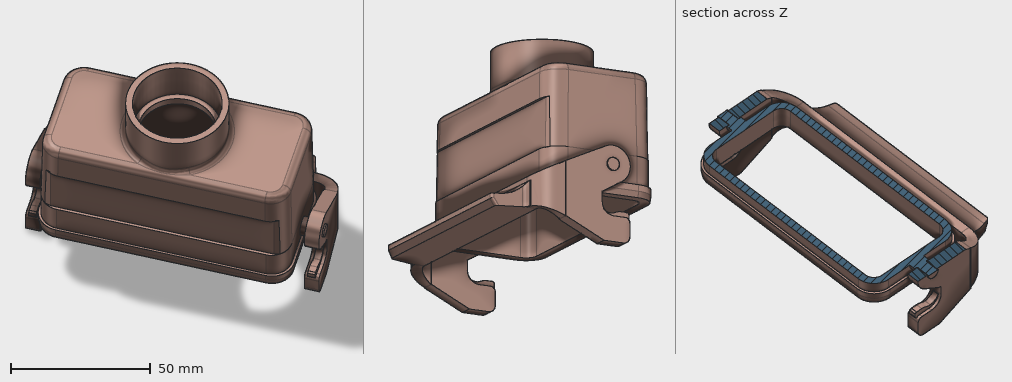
import cadquery as cq
import math


TOLERANCE = 0.01

BODY_HALF_X = 46.5
BODY_HALF_Y = 21.6
BODY_CORNER_R = 7.6
BAND_TOP_Z = 15.5
DECK_Z = 47.3
DRAFT = 1.0
DECK_EDGE_R = 3.1

FLANGE_HALF_X = 47.5
FLANGE_HALF_Y = 22.5
FLANGE_CORNER_R = 8.4
FLANGE_TOP_Z = 4.7
FLANGE_BEVEL_H = 2.3
FLANGE_BEVEL_W = 0.4

PANEL_TOP_Z = 34.4
PANEL_DEPTH = 1.1
PANEL_FLAT_HALF_X = 41.5
PANEL_BEVEL_SLOPE = 0.3
PANEL_CUT_HALF_X = BODY_HALF_X + 1.1

WALL = 3.3
CEILING_Z = 45.6

OVERALL_HEIGHT = 83.5
NECK_D = 37.0
NECK_FILLET = 2.0
NECK_BORE_D = 32.0
NECK_HOLE_D = 28.0
NECK_BORE_DEPTH = 15.0

PIVOT_Z = 8.8
PIVOT_D = 4.8
COLLAR_D = 7.0
PIVOT_TIP_X = 55.0

ARM_INNER_X = 49.1
ARM_OUTER_X = 54.5
ARM_END_Y = 18.9
ARM_EYE_R = 7.0
ARM_SLOPE = math.radians(25)
THROAT_SLOPE = math.radians(30)
LEVER_BOTTOM_Z = -19.9

THROAT_Y = 4.3
THROAT_WALL_END_Z = -5.6
THROAT_R = 4.7
HOOK_TIP_Y = -6.9
HOOK_TOP_R = 1.9
HOOK_BOTTOM_R = 2.6

TONGUE_W = 2.8
TONGUE_ROOT = (4.1, -6.3)
TONGUE_CURVE = (2.5, -8.3)
TONGUE_HOLLOW = (0.2, -9.0)
TONGUE_CREST = (-4.0, -8.0)
TONGUE_CREST_END_Y = -6.5
TONGUE_NOSE_Y = -7.3
TONGUE_NOSE_TOP_Z = -8.5
TONGUE_NOSE_BOTTOM_Z = -10.3
TONGUE_EMBED = 1.1

PLATE_OUTER_Y = 28.8
PLATE_T = 4.0
PLATE_HALF_X = 43.2
PLATE_BOTTOM_Z = -8.1
BEND_OUTER_X = 54.2
BEND_INNER_X = 49.4
BEND_SECTIONS = 7
BEND_MARGIN = 1.1

TAB_OUTER_Y = 41.5
TAB_OUTER_HALF_X = 39.9
TAB_ROOT_HALF_X = 43.5
TAB_CORNER_R = 1.3
TAB_ROOT_R = 2.3
TAB_TOP_Z = -3.6
TAB_LIP_Y = 38.5
TAB_HOLLOW_R = 12.0
TAB_BEVEL_W = 1.5
TAB_BEVEL_H = 2.6

NECK_TOP_Z = LEVER_BOTTOM_Z + OVERALL_HEIGHT
NECK_SHOULDER_Z = NECK_TOP_Z - NECK_BORE_DEPTH
ARM_T = ARM_OUTER_X - ARM_INNER_X
PLATE_INNER_Y = PLATE_OUTER_Y - PLATE_T
THROAT_BOTTOM_Z = THROAT_WALL_END_Z - THROAT_R
EDGE_HEIGHT_AT_PIVOT = PIVOT_Z + ARM_EYE_R / math.cos(ARM_SLOPE)
ARM_END_TOP_Z = EDGE_HEIGHT_AT_PIVOT - ARM_END_Y * math.tan(ARM_SLOPE)
PLATE_TOP_Z = EDGE_HEIGHT_AT_PIVOT - PLATE_OUTER_Y * math.tan(ARM_SLOPE)
ARM_END_BOTTOM_Z = PLATE_BOTTOM_Z - (PLATE_OUTER_Y - ARM_END_Y) * math.tan(ARM_SLOPE)
LEVER_FOOT_Y = PLATE_OUTER_Y - (PLATE_BOTTOM_Z - LEVER_BOTTOM_Z) / math.tan(ARM_SLOPE)


def rounded_block(half_x, half_y, corner_r, z_low, z_high):
    block = cq.Workplane("XY", origin=(0, 0, z_low)).rect(2 * half_x, 2 * half_y)
    return block.extrude(z_high - z_low).edges("|Z").fillet(corner_r)


def drafted_block(half_x, half_y, corner_r, z_low, height, draft):
    """Rounded block whose four walls lean inward by the draft angle in degrees."""
    block = cq.Workplane("XY", origin=(0, 0, z_low)).rect(2 * half_x, 2 * half_y)
    block = block.extrude(height, taper=draft)
    return block.edges("not(|X or |Y)").fillet(corner_r)


def x_cylinder(diameter, x_start, x_end):
    """Cylinder on the pivot axis."""
    plane = cq.Workplane("YZ", origin=(x_start, 0, PIVOT_Z))
    return plane.circle(diameter / 2).extrude(x_end - x_start)


def mirrored_pair(shape, plane):
    return shape.union(shape.mirror(plane))


def make_cover():
    """Drafted cover with a rounded top edge and the cable neck rising from it."""
    cover = drafted_block(
        BODY_HALF_X, BODY_HALF_Y, BODY_CORNER_R, BAND_TOP_Z, DECK_Z - BAND_TOP_Z, DRAFT
    )
    cover = cover.faces(">Z").edges().fillet(DECK_EDGE_R)
    neck = cq.Workplane("XY", origin=(0, 0, BAND_TOP_Z)).circle(NECK_D / 2)
    cover = cover.union(neck.extrude(NECK_TOP_Z - BAND_TOP_Z))
    return cover.newObject(neck_root_edges(cover)).fillet(NECK_FILLET)


def neck_root_edges(cover):
    """Edges below the neck's rim that lie on the neck's cylinder."""

    def on_neck(point):
        return abs(math.hypot(point.x, point.y) - NECK_D / 2) < TOLERANCE

    samples = [0.1, 0.4, 0.9]
    low_edges = [edge for edge in cover.edges().vals() if edge.BoundingBox().zmax < DECK_Z + TOLERANCE]
    return [edge for edge in low_edges if all(on_neck(point) for point in edge.positions(samples))]


def make_flange():
    """Rim around the opening, bevelled along its lower edge."""
    rim = rounded_block(FLANGE_HALF_X, FLANGE_HALF_Y, FLANGE_CORNER_R, 0, FLANGE_TOP_Z)
    return rim.faces("<Z").edges().chamfer(FLANGE_BEVEL_H, FLANGE_BEVEL_W)


def make_panel_cut():
    """Recess on the -Y wall: a flat floor with a shallow bevelled strip at each end."""

    def plan(floor_y):
        end_y = floor_y + (PANEL_CUT_HALF_X - PANEL_FLAT_HALF_X) * PANEL_BEVEL_SLOPE
        return [
            (-PANEL_CUT_HALF_X, -FLANGE_HALF_Y),
            (PANEL_CUT_HALF_X, -FLANGE_HALF_Y),
            (PANEL_CUT_HALF_X, end_y),
            (PANEL_FLAT_HALF_X, floor_y),
            (-PANEL_FLAT_HALF_X, floor_y),
            (-PANEL_CUT_HALF_X, end_y),
        ]

    height = PANEL_TOP_Z - BAND_TOP_Z
    inset_at_top = height * math.tan(math.radians(DRAFT))
    floor_low = PANEL_DEPTH - BODY_HALF_Y
    cut = cq.Workplane("XY", origin=(0, 0, BAND_TOP_Z)).polyline(plan(floor_low)).close()
    cut = cut.workplane(offset=height).polyline(plan(floor_low + inset_at_top)).close()
    return cut.loft(ruled=True)


def make_cavity():
    room = rounded_block(
        BODY_HALF_X - WALL, BODY_HALF_Y - WALL, BODY_CORNER_R - WALL, 0, CEILING_Z
    )
    hole = cq.Workplane("XY").circle(NECK_HOLE_D / 2).extrude(NECK_TOP_Z)
    bore = cq.Workplane("XY", origin=(0, 0, NECK_SHOULDER_Z)).circle(NECK_BORE_D / 2)
    return room.union(hole).union(bore.extrude(NECK_BORE_DEPTH))


def make_pivot():
    """Collar and pin standing out of the +X end wall."""
    root_x = BODY_HALF_X - WALL / 2
    collar = x_cylinder(COLLAR_D, root_x, ARM_INNER_X)
    return collar.union(x_cylinder(PIVOT_D, root_x, PIVOT_TIP_X))


def make_hood():
    hood = make_cover()
    hood = hood.union(rounded_block(BODY_HALF_X, BODY_HALF_Y, BODY_CORNER_R, 0, BAND_TOP_Z))
    hood = hood.union(make_flange())
    panel = make_panel_cut()
    hood = hood.cut(panel).cut(panel.mirror("XZ"))
    hood = hood.cut(make_cavity())
    return hood.union(mirrored_pair(make_pivot(), "YZ"))


def eye_point(angle):
    return (ARM_EYE_R * math.cos(angle), PIVOT_Z + ARM_EYE_R * math.sin(angle))


def make_arm():
    """Flat +X arm: pivot eye above, hook below, joined by the throat."""
    eye_start = math.pi / 2 - ARM_SLOPE
    eye_end = 3 * math.pi / 2 - THROAT_SLOPE
    leave_y, leave_z = eye_point(eye_end)
    throat_top_z = leave_z - (THROAT_Y - leave_y) * math.tan(THROAT_SLOPE)
    diagonal = THROAT_R * math.sqrt(0.5)
    throat_mid = (THROAT_Y - THROAT_R + diagonal, THROAT_WALL_END_Z - diagonal)
    arm = (
        cq.Workplane("YZ", origin=(ARM_INNER_X, 0, 0))
        .moveTo(ARM_END_Y, ARM_END_TOP_Z)
        .lineTo(*eye_point(eye_start))
        .threePointArc(eye_point((eye_start + eye_end) / 2), (leave_y, leave_z))
        .lineTo(THROAT_Y, throat_top_z)
        .lineTo(THROAT_Y, THROAT_WALL_END_Z)
        .threePointArc(throat_mid, (THROAT_Y - THROAT_R, THROAT_BOTTOM_Z))
        .lineTo(HOOK_TIP_Y, THROAT_BOTTOM_Z)
        .lineTo(HOOK_TIP_Y, LEVER_BOTTOM_Z)
        .lineTo(LEVER_FOOT_Y, LEVER_BOTTOM_Z)
        .lineTo(ARM_END_Y, ARM_END_BOTTOM_Z)
        .close()
        .extrude(ARM_T)
    )
    tip_edges = arm.faces("<Y").edges("|X")
    arm = tip_edges.edges("<Z").fillet(HOOK_BOTTOM_R)
    return arm.faces("<Y").edges("|X and >Z").fillet(HOOK_TOP_R)


def make_tongue():
    """Narrow rail that follows the throat and overhangs the hook's tip."""
    middle_x = (ARM_INNER_X + ARM_OUTER_X) / 2
    sunk_z = THROAT_BOTTOM_Z - TONGUE_EMBED - HOOK_TOP_R
    sunk_y = THROAT_Y + TONGUE_EMBED
    nose_run = TONGUE_CREST_END_Y - TONGUE_NOSE_Y
    forward = (-1, 0)
    return (
        cq.Workplane("YZ", origin=(middle_x - TONGUE_W / 2, 0, 0))
        .moveTo(sunk_y, TONGUE_ROOT[1])
        .lineTo(*TONGUE_ROOT)
        .threePointArc(TONGUE_CURVE, TONGUE_HOLLOW)
        .spline([TONGUE_CREST], tangents=[forward, forward], includeCurrent=True)
        .lineTo(TONGUE_CREST_END_Y, TONGUE_CREST[1])
        .lineTo(TONGUE_NOSE_Y, TONGUE_NOSE_TOP_Z)
        .lineTo(TONGUE_NOSE_Y, TONGUE_NOSE_BOTTOM_Z)
        .lineTo(TONGUE_CREST_END_Y, TONGUE_NOSE_BOTTOM_Z - nose_run)
        .lineTo(HOOK_TIP_Y + HOOK_TOP_R, sunk_z)
        .lineTo(sunk_y, sunk_z)
        .close()
        .extrude(TONGUE_W)
    )


def make_bend():
    """Corner between plate and arm; its edges slope along the turn but lie level across it."""
    walls = make_bend_walls()
    return walls.intersect(make_bend_height_limits())


def make_bend_walls():
    """Upright corner between two quarter ellipses, taller than the finished bend."""

    def quarter_ellipse(end_x, end_y):
        radius_x = end_x - PLATE_HALF_X
        radius_y = end_y - ARM_END_Y
        center = cq.Vector(PLATE_HALF_X, ARM_END_Y, LEVER_BOTTOM_Z)
        return cq.Edge.makeEllipse(radius_x, radius_y, center, angle1=0, angle2=90)

    outer = quarter_ellipse(BEND_OUTER_X, PLATE_OUTER_Y)
    inner = quarter_ellipse(BEND_INNER_X, PLATE_INNER_Y)
    plate_end = cq.Edge.makeLine(outer.endPoint(), inner.endPoint())
    arm_end = cq.Edge.makeLine(inner.startPoint(), outer.startPoint())
    outline = cq.Wire.assembleEdges([outer, plate_end, inner, arm_end])
    height = cq.Vector(0, 0, PIVOT_Z + ARM_EYE_R - LEVER_BOTTOM_Z)
    return cq.Workplane("XY").newObject([cq.Solid.extrudeLinear(outline, [], height)])


def make_bend_height_limits():
    """Block swept round the corner, wider than the walls, with the bend's top and bottom."""

    def section(turn):
        along = math.sin(turn)
        across = math.cos(turn)
        top_z = ARM_END_TOP_Z + (PLATE_TOP_Z - ARM_END_TOP_Z) * across
        bottom_z = ARM_END_BOTTOM_Z + (PLATE_BOTTOM_Z - ARM_END_BOTTOM_Z) * across
        outer_x = PLATE_HALF_X + (BEND_OUTER_X - PLATE_HALF_X + BEND_MARGIN) * along
        inner_x = PLATE_HALF_X + (BEND_INNER_X - PLATE_HALF_X - BEND_MARGIN) * along
        outer_y = ARM_END_Y + (PLATE_OUTER_Y - ARM_END_Y + BEND_MARGIN) * across
        inner_y = ARM_END_Y + (PLATE_INNER_Y - ARM_END_Y - BEND_MARGIN) * across
        corners = [
            cq.Vector(outer_x, outer_y, top_z),
            cq.Vector(inner_x, inner_y, top_z),
            cq.Vector(inner_x, inner_y, bottom_z),
            cq.Vector(outer_x, outer_y, bottom_z),
        ]
        return cq.Wire.makePolygon(corners, close=True)

    last = BEND_SECTIONS - 1
    sections = [section(math.pi / 2 * step / last) for step in range(BEND_SECTIONS)]
    return cq.Workplane("XY").newObject([cq.Solid.makeLoft(sections, False)])


def make_plate():
    plate = cq.Workplane("XY", origin=(0, PLATE_INNER_Y + PLATE_T / 2, PLATE_BOTTOM_Z))
    return plate.rect(2 * PLATE_HALF_X, PLATE_T).extrude(PLATE_TOP_Z - PLATE_BOTTOM_Z)


def make_tab():
    """Grip along the plate: hollowed on top, bevelled below, trapezoidal in plan."""
    root_y = PLATE_OUTER_Y - PLATE_T / 4

    def hollow_point(y):
        sag = math.sqrt(TAB_HOLLOW_R**2 - (TAB_LIP_Y - y) ** 2)
        return (y, TAB_TOP_Z + TAB_HOLLOW_R - sag)

    hollow_end = hollow_point(PLATE_OUTER_Y)
    hollow_mid = hollow_point((PLATE_OUTER_Y + TAB_LIP_Y) / 2)
    profile = (
        cq.Workplane("YZ", origin=(-ARM_OUTER_X, 0, 0))
        .moveTo(root_y, PLATE_BOTTOM_Z)
        .lineTo(TAB_OUTER_Y - TAB_BEVEL_W, PLATE_BOTTOM_Z)
        .lineTo(TAB_OUTER_Y, PLATE_BOTTOM_Z + TAB_BEVEL_H)
        .lineTo(TAB_OUTER_Y, TAB_TOP_Z)
        .lineTo(TAB_LIP_Y, TAB_TOP_Z)
        .threePointArc(hollow_mid, hollow_end)
        .lineTo(root_y, hollow_end[1])
        .close()
        .extrude(2 * ARM_OUTER_X)
    )
    foot_half_x = TAB_ROOT_HALF_X + TAB_ROOT_R
    half_plan = [
        (foot_half_x, root_y),
        (foot_half_x, PLATE_OUTER_Y),
        (TAB_ROOT_HALF_X, PLATE_OUTER_Y),
        (TAB_OUTER_HALF_X, TAB_OUTER_Y),
    ]
    other_half = [(-x, y) for x, y in reversed(half_plan)]
    plan = cq.Workplane("XY", origin=(0, 0, LEVER_BOTTOM_Z)).polyline(half_plan + other_half)
    plan = plan.close().extrude(PLATE_TOP_Z - LEVER_BOTTOM_Z)
    root_corners = cq.selectors.BoxSelector(
        (-TAB_ROOT_HALF_X - TOLERANCE, PLATE_OUTER_Y - TOLERANCE, LEVER_BOTTOM_Z),
        (TAB_ROOT_HALF_X + TOLERANCE, PLATE_OUTER_Y + TOLERANCE, PLATE_TOP_Z),
    )
    plan = plan.edges(root_corners).fillet(TAB_ROOT_R)
    tab = profile.intersect(plan)
    tip_corners = cq.selectors.BoxSelector(
        (-ARM_OUTER_X, TAB_OUTER_Y - 0.75 * TAB_BEVEL_W, PLATE_BOTTOM_Z),
        (ARM_OUTER_X, TAB_OUTER_Y + TOLERANCE, TAB_TOP_Z),
    )
    return tab.edges(tip_corners).edges("not |X").fillet(TAB_CORNER_R)


def make_lever():
    side = make_arm().union(make_tongue()).union(make_bend())
    side = side.cut(x_cylinder(PIVOT_D, ARM_INNER_X, ARM_OUTER_X))
    return make_plate().union(make_tab()).union(mirrored_pair(side, "YZ"))


hood = make_hood()
lever = make_lever()
result = cq.Compound.makeCompound([hood.val(), lever.val()])